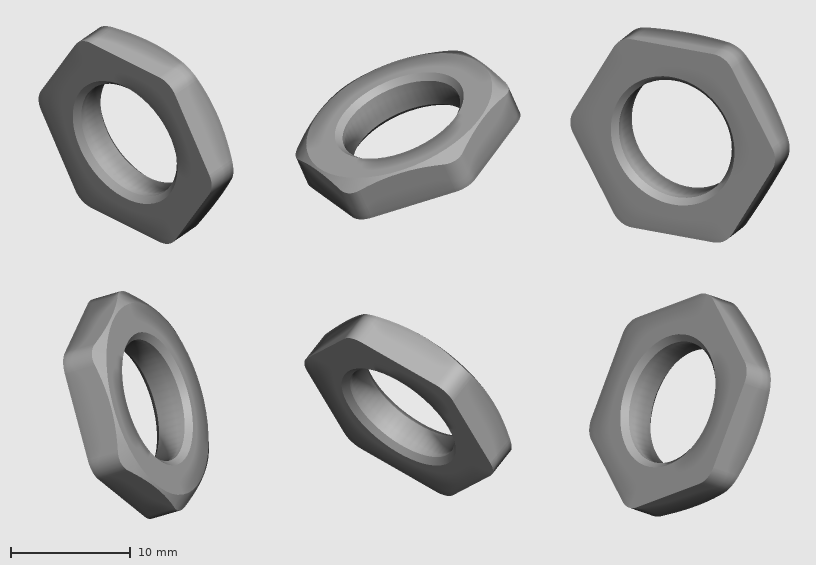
import cadquery as cq
import math

width_over_corners = 19.01
width_over_flats = 17.0
thickness = 3.5
bore_diameter = 10.5
countersink_diameter = 11.5
countersink_angle = 45.0
crown_diameter = 16.6
crown_angle = 30.0

front_y = -thickness / 2
back_y = thickness / 2

corner_ratio = 1 / math.cos(math.radians(30))
sharp_width = width_over_flats * corner_ratio
corner_radius = (sharp_width - width_over_corners) / 2 / (corner_ratio - 1)


def hexagonal_body():
    """Hexagonal prism with corners on the X axis and rounded Y edges."""
    return (
        cq.Workplane("XZ", origin=(0, back_y, 0))
        .polygon(6, sharp_width)
        .extrude(thickness)
        .edges("|Y")
        .fillet(corner_radius)
    )


def crown_envelope():
    """Turned envelope whose cone trims the corners at the +Y face."""
    outer_radius = sharp_width / 2
    crown_radius = crown_diameter / 2
    crown_depth = (outer_radius - crown_radius) * math.tan(math.radians(crown_angle))
    return (
        cq.Workplane("XY")
        .moveTo(0, front_y)
        .lineTo(outer_radius, front_y)
        .lineTo(outer_radius, back_y - crown_depth)
        .lineTo(crown_radius, back_y)
        .lineTo(0, back_y)
        .close()
        .revolve(360, (0, 0, 0), (0, 1, 0))
    )


def countersunk_bore():
    """Through bore with equal countersinks at both faces."""
    bore_radius = bore_diameter / 2
    countersink_radius = countersink_diameter / 2
    countersink_depth = (countersink_radius - bore_radius) / math.tan(math.radians(countersink_angle))
    return (
        cq.Workplane("XY")
        .moveTo(0, front_y)
        .lineTo(countersink_radius, front_y)
        .lineTo(bore_radius, front_y + countersink_depth)
        .lineTo(bore_radius, back_y - countersink_depth)
        .lineTo(countersink_radius, back_y)
        .lineTo(0, back_y)
        .close()
        .revolve(360, (0, 0, 0), (0, 1, 0))
    )


result = hexagonal_body().intersect(crown_envelope()).cut(countersunk_bore())